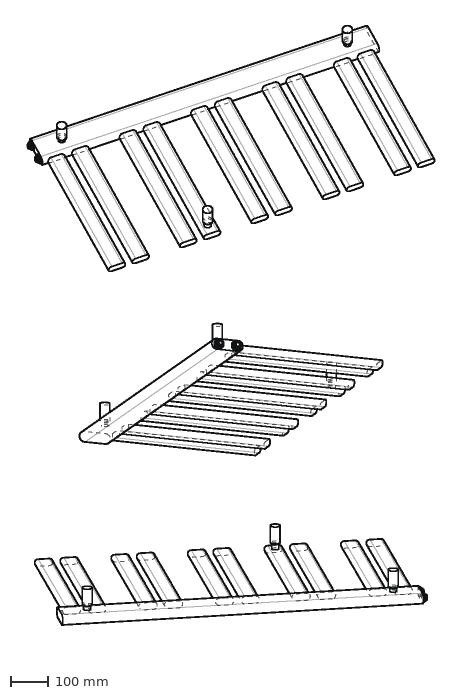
import cadquery as cq

collector_length = 990.0
collector_width = 90.0
collector_height = 30.0

overall_width = 500.0
bar_width = 50.0
bar_height = 20.0
bar_pitch = 70.0
pair_count = 5
pair_pitch = 210.0
end_to_first_bar = 40.0

overall_height = 91.0
mount_diameter = 27.0
mount_neck_diameter = 20.0
mount_head_length = 51.0
mount_chamfer = 3.0
bar_mount_inset = 30.0
bar_mount_pair = 1

plug_spacing = 50.0
plug_flange_diameter = 26.0
plug_flange_length = 6.7
plug_flange_chamfer = 2.0
plug_tip_diameter = 17.0
plug_tip_chamfer = 3.0
plug_length = 13.4

bar_end_x = overall_width - collector_width / 2
mount_top_z = overall_height - collector_height / 2
collector_mount_inset = end_to_first_bar + bar_pitch / 2


def make_collector():
    return (
        cq.Workplane("XZ")
        .slot2D(collector_width, collector_height)
        .extrude(-collector_length)
    )


def make_bar(y):
    return (
        cq.Workplane("YZ")
        .center(y, 0)
        .slot2D(bar_width, bar_height)
        .extrude(bar_end_x)
    )


def make_mount(x, y):
    """A round head on a thinner neck that reaches down into the tube it stands on."""
    neck = cq.Workplane("XY").center(x, y).circle(mount_neck_diameter / 2).extrude(mount_top_z)
    head = (
        cq.Workplane("XY", origin=(0, 0, mount_top_z - mount_head_length))
        .center(x, y)
        .circle(mount_diameter / 2)
        .extrude(mount_head_length)
        .faces("<Z")
        .chamfer(mount_chamfer)
    )
    return head.union(neck)


def make_plug(x):
    """A chamfered round flange against the collector's end, with a smaller chamfered tip in front."""
    flange = (
        cq.Workplane("XZ")
        .center(x, 0)
        .circle(plug_flange_diameter / 2)
        .extrude(plug_flange_length)
        .faces("<Y")
        .chamfer(plug_flange_chamfer)
    )
    tip = (
        cq.Workplane("XZ")
        .center(x, 0)
        .circle(plug_tip_diameter / 2)
        .extrude(plug_length)
        .faces("<Y")
        .chamfer(plug_tip_chamfer)
    )
    return flange.union(tip)


radiator = make_collector()
for pair in range(pair_count):
    first_bar_y = end_to_first_bar + pair * pair_pitch
    for y in (first_bar_y, first_bar_y + bar_pitch):
        radiator = radiator.union(make_bar(y))

for y in (collector_mount_inset, collector_length - collector_mount_inset):
    radiator = radiator.union(make_mount(0, y))

bar_mount_y = end_to_first_bar + bar_mount_pair * pair_pitch + bar_pitch
radiator = radiator.union(make_mount(bar_end_x - bar_mount_inset, bar_mount_y))

plugs = [make_plug(x) for x in (-plug_spacing / 2, plug_spacing / 2)]

result = cq.Compound.makeCompound([radiator.val(), *[plug.val() for plug in plugs]])